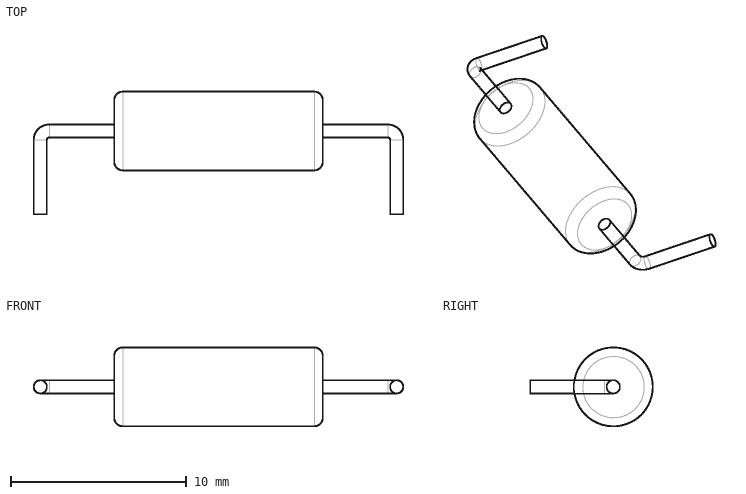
import cadquery as cq

overall_length = 21.07
body_length = 11.9
body_diameter = 4.5
body_edge_radius = 0.5
overall_depth = 7.0
wire_diameter = 0.75
bend_radius = 0.5

lead_x = (overall_length - wire_diameter) / 2
lead_tip_y = body_diameter / 2 - overall_depth


def make_body():
    """Cylinder centred on the origin, with both rims rounded."""
    return (
        cq.Workplane("YZ", origin=(-body_length / 2, 0, 0))
        .circle(body_diameter / 2)
        .extrude(body_length)
        .edges("%CIRCLE")
        .fillet(body_edge_radius)
    )


def make_lead():
    """Round wire from the body centre out along +X, then bent toward -Y."""
    path = (
        cq.Workplane("XY")
        .lineTo(lead_x - bend_radius, 0)
        .tangentArcPoint((lead_x, -bend_radius), relative=False)
        .lineTo(lead_x, lead_tip_y)
    )
    return cq.Workplane("YZ").circle(wire_diameter / 2).sweep(path)


right_lead = make_lead()
left_lead = right_lead.mirror("YZ")
result = make_body().union(right_lead).union(left_lead)